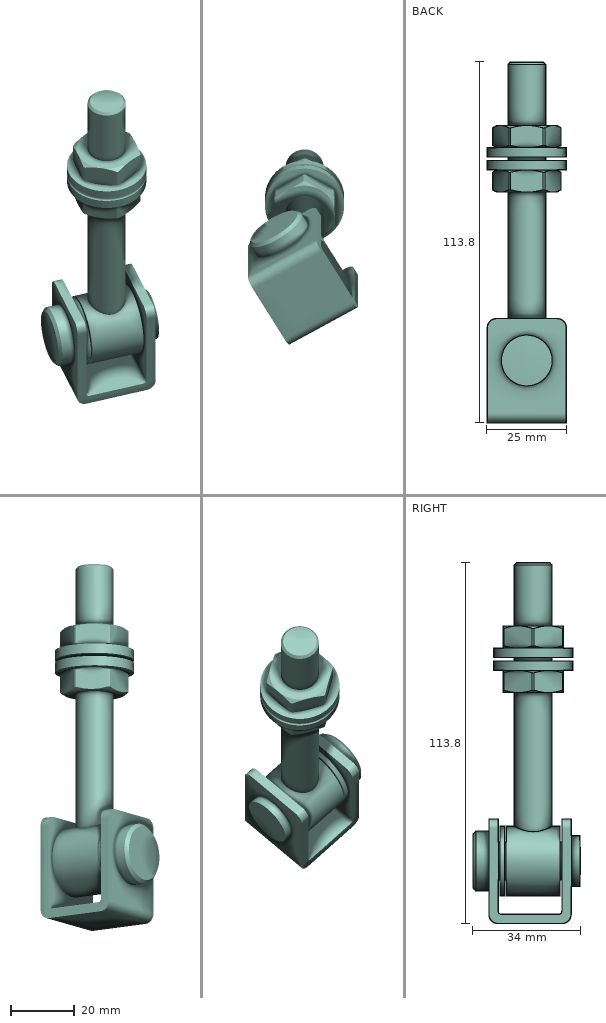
import cadquery as cq

total_height = 113.75
pivot_height = 19.75

bracket_width = 25.0
bracket_height = 33.0
bracket_depth = 26.0
bracket_wall = 3.0
bend_outer_radius = 3.0
bend_inner_radius = 1.0
bracket_corner_radius = 3.0

rod_diameter = 12.0
rod_tip_chamfer = 0.75
eye_diameter = 22.0
eye_width = 17.0

pivot_diameter = 12.0
head_diameter = 19.0
head_height = 5.0
head_chamfer = 1.0
spacer_diameter = 22.0
spacer_thickness = 1.5
cap_diameter = 16.0
cap_rim_thickness = 2.7
cap_dome_height = 0.27
cap_bore_depth = 1.5

nut_across_flats = 19.0
nut_height = 7.0
nut_corner_diameter = 21.6
nut_corner_chamfer_height = 0.75
washer_diameter = 25.0
washer_thickness = 3.0
clamp_gap = 1.0
clamp_height = 83.3

side_clearance = (bracket_depth - 2 * bracket_wall - eye_width - spacer_thickness) / 3
bracket_back = eye_width / 2 + side_clearance + bracket_wall
bracket_front = bracket_back - bracket_depth
spacer_back = -eye_width / 2 - side_clearance


def pivot_cylinder(diameter, back, length):
    """Cylinder on the pivot axis, running from y = back toward -Y."""
    return (
        cq.Workplane("XZ", origin=(0, back, pivot_height))
        .circle(diameter / 2)
        .extrude(length)
    )


def make_bracket():
    centre_y = (bracket_front + bracket_back) / 2
    outer = (
        cq.Workplane("XY", origin=(0, centre_y, 0))
        .box(bracket_width, bracket_depth, bracket_height, centered=(True, True, False))
        .edges("|X and <Z").fillet(bend_outer_radius)
        .edges("|Y and >Z").fillet(bracket_corner_radius)
    )
    channel = (
        cq.Workplane("XY", origin=(0, centre_y, bracket_wall))
        .box(bracket_width, bracket_depth - 2 * bracket_wall, bracket_height, centered=(True, True, False))
        .edges("|X and <Z").fillet(bend_inner_radius)
    )
    pivot_holes = pivot_cylinder(pivot_diameter, bracket_back, bracket_depth)
    return outer.cut(channel).cut(pivot_holes)


def make_eye_bolt():
    rod = (
        cq.Workplane("XY", origin=(0, 0, pivot_height))
        .circle(rod_diameter / 2)
        .extrude(total_height - pivot_height)
        .faces(">Z").chamfer(rod_tip_chamfer)
    )
    eye = pivot_cylinder(eye_diameter, eye_width / 2, eye_width)
    bore = pivot_cylinder(pivot_diameter, eye_width / 2, eye_width)
    return rod.union(eye).cut(bore)


def make_pivot_bolt():
    head = (
        pivot_cylinder(head_diameter, bracket_front, head_height)
        .faces("<Y").chamfer(head_chamfer)
    )
    shank_back = bracket_back + cap_bore_depth
    shank = pivot_cylinder(pivot_diameter, shank_back, shank_back - bracket_front)
    return head.union(shank)


def make_spacer():
    bore = pivot_cylinder(pivot_diameter, spacer_back, spacer_thickness)
    return pivot_cylinder(spacer_diameter, spacer_back, spacer_thickness).cut(bore)


def make_cap():
    """Cap with a shallow domed back, pushed over the end of the pivot bolt."""
    rim_radius = cap_diameter / 2
    rim_back = bracket_back + cap_rim_thickness
    dome_radius = (rim_radius ** 2 + cap_dome_height ** 2) / (2 * cap_dome_height)
    blank = (
        cq.Workplane("XY", origin=(0, 0, pivot_height))
        .moveTo(0, bracket_back)
        .lineTo(rim_radius, bracket_back)
        .lineTo(rim_radius, rim_back)
        .radiusArc((0, rim_back + cap_dome_height), -dome_radius)
        .close()
        .revolve(360, (0, 0, 0), (0, 1, 0))
    )
    bore = pivot_cylinder(pivot_diameter, bracket_back + cap_bore_depth, cap_bore_depth)
    return blank.cut(bore)


def make_rod_washer(base):
    return (
        cq.Workplane("XY", origin=(0, 0, base))
        .circle(washer_diameter / 2)
        .circle(rod_diameter / 2)
        .extrude(washer_thickness)
    )


def make_rod_nut(base):
    hexagon = (
        cq.Workplane("XY", origin=(0, 0, base))
        .transformed(rotate=(0, 0, 30))
        .polygon(6, nut_across_flats, circumscribed=True)
        .circle(rod_diameter / 2)
        .extrude(nut_height)
    )
    bevel_width = (nut_corner_diameter - nut_across_flats) / 2
    blank = (
        cq.Workplane("XY", origin=(0, 0, base))
        .circle(nut_corner_diameter / 2)
        .extrude(nut_height)
        .faces("<Z or >Z").chamfer(nut_corner_chamfer_height, bevel_width)
    )
    return hexagon.intersect(blank)


bracket = make_bracket()
eye_bolt = make_eye_bolt()
pivot_bolt = make_pivot_bolt()
spacer = make_spacer()
cap = make_cap()

upper_washer_base = clamp_height + clamp_gap / 2
lower_washer_base = clamp_height - clamp_gap / 2 - washer_thickness
washers = [make_rod_washer(base) for base in (lower_washer_base, upper_washer_base)]
nut_bases = (lower_washer_base - nut_height, upper_washer_base + washer_thickness)
nuts = [make_rod_nut(base) for base in nut_bases]

result = cq.Compound.makeCompound(
    [part.val() for part in [bracket, eye_bolt, pivot_bolt, spacer, cap, *washers, *nuts]]
)